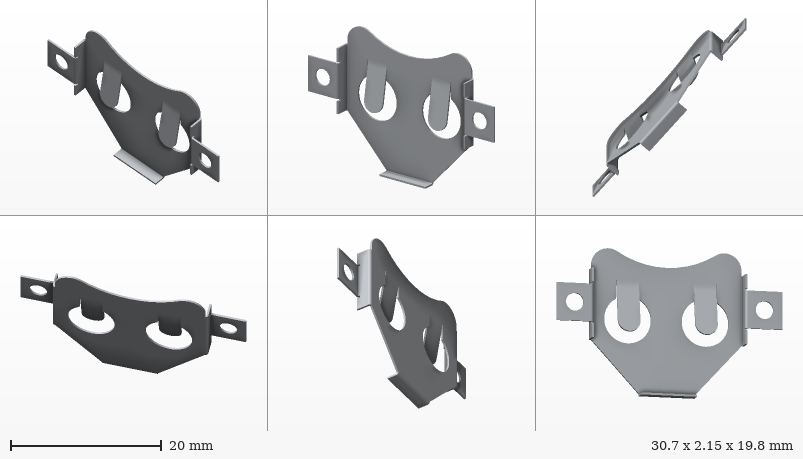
import cadquery as cq
import math

overall_width = 30.73
overall_depth = 2.15
overall_height = 19.82
sheet = 0.28
bend_inner = 0.1
bend_outer = bend_inner + sheet

wall_outer_x = 10.6
plate_half_width = wall_outer_x - bend_outer
horn_radius = 2.3
valley_z = 17.52

lip_half_width = 3.78
lip_depth = 1.78

wall_bottom = 7.38
wall_top = 16.8
tab_bottom = 9.5
tab_top = 14.6
relief_height = 0.25
relief_depth = 0.5
tab_hole_x = 12.95
tab_hole_diameter = 2.4

window_x = 5.3
window_radius = 3.2
window_z = 10.3
tongue_width = 3.05
tongue_inner_x = 3.75
tongue_tip_z = 8.57
tongue_root_z = 15.55
tongue_bend_height = 0.75
tongue_angle = math.radians(10)
slot_side_gap = 0.1


def box(x_range, y_range, z_range):
    """Axis-aligned block from its limits along X, Y and Z."""
    lengths = [high - low for low, high in (x_range, y_range, z_range)]
    corner = (x_range[0], y_range[0], z_range[0])
    return cq.Workplane("XY").box(*lengths, centered=False).translate(corner)


def both_sides(body):
    """The body together with its mirror image across the YZ plane."""
    return body.union(body.mirror("YZ"))


def make_plate():
    """Flat back plate: two rounded horns joined tangentially by a concave valley."""
    horn_x = plate_half_width - horn_radius
    horn_z = overall_height - horn_radius
    rise = valley_z - horn_z
    valley_radius = (horn_x**2 + rise**2 - horn_radius**2) / (2 * (horn_radius - rise))
    valley_center_z = valley_z + valley_radius
    reach = horn_radius / (horn_radius + valley_radius)
    joint_x = horn_x * (1 - reach)
    joint_z = horn_z + reach * (valley_center_z - horn_z)
    return (
        cq.Workplane("XZ")
        .moveTo(-lip_half_width, bend_outer)
        .lineTo(lip_half_width, bend_outer)
        .lineTo(plate_half_width, wall_bottom)
        .lineTo(plate_half_width, horn_z)
        .threePointArc((horn_x, overall_height), (joint_x, joint_z))
        .threePointArc((0, valley_z), (-joint_x, joint_z))
        .threePointArc((-horn_x, overall_height), (-plate_half_width, horn_z))
        .lineTo(-plate_half_width, wall_bottom)
        .close()
        .extrude(sheet)
    )


def make_lip():
    """Lip along the bottom edge, folded forward."""
    mid = math.sqrt(0.5)
    return (
        cq.Workplane("YZ")
        .moveTo(0, bend_outer)
        .threePointArc((bend_outer * (mid - 1), bend_outer * (1 - mid)), (-bend_outer, 0))
        .lineTo(-lip_depth, 0)
        .lineTo(-lip_depth, sheet)
        .lineTo(-bend_outer, sheet)
        .threePointArc(
            (-bend_outer + bend_inner * mid, bend_outer - bend_inner * mid),
            (-sheet, bend_outer),
        )
        .close()
        .extrude(lip_half_width, both=True)
    )


def bend(center_x, center_y, corner_x, corner_y, z_range):
    """Quarter-round bend about a vertical axis, on the corner_x, corner_y side of it."""
    height = z_range[1] - z_range[0]
    ring = cq.Workplane("XY").circle(bend_outer).circle(bend_inner).extrude(height)
    quadrant = box(
        sorted((0, corner_x * bend_outer)),
        sorted((0, corner_y * bend_outer)),
        (0, height),
    )
    return ring.intersect(quadrant).translate((center_x, center_y, z_range[0]))


def make_wall():
    """Right-hand side wall with its bend and the two relief slots beside the tab."""
    wall_inner_x = wall_outer_x - sheet
    wall_x = (wall_inner_x, wall_outer_x)
    wall_z = (wall_bottom, wall_top)
    wall = box(wall_x, (-overall_depth, -bend_outer), wall_z)
    opening = box(
        wall_x,
        (-overall_depth, -overall_depth + relief_depth),
        (tab_bottom - relief_height, tab_top + relief_height),
    )
    tab_root = box(
        wall_x,
        (-overall_depth + bend_outer, -overall_depth + relief_depth),
        (tab_bottom, tab_top),
    )
    plate_bend = bend(plate_half_width, -bend_outer, 1, 1, wall_z)
    return wall.cut(opening).union(tab_root).union(plate_bend)


def make_tab():
    """Right-hand mounting tab, folded outward from the front edge of the wall."""
    tab_z = (tab_bottom, tab_top)
    bend_x = wall_outer_x + bend_inner
    flat = box(
        (bend_x, overall_width / 2),
        (-overall_depth, -overall_depth + sheet),
        tab_z,
    )
    hole = (
        cq.Workplane("XZ")
        .center(tab_hole_x, (tab_bottom + tab_top) / 2)
        .circle(tab_hole_diameter / 2)
        .extrude(overall_depth)
    )
    return flat.cut(hole).union(bend(bend_x, -overall_depth + bend_outer, -1, -1, tab_z))


def make_window():
    """Right-hand round window with the slot that frees the tongue above it."""
    circle = cq.Workplane("XZ").center(window_x, window_z).circle(window_radius).extrude(sheet)
    slot = box(
        (tongue_inner_x, tongue_inner_x + tongue_width + slot_side_gap),
        (-sheet, 0),
        (window_z, tongue_root_z),
    )
    return circle.union(slot)


def make_tongue():
    """Right-hand spring tongue: gentle bend at the root, then a sloped blade with a round tip."""
    front_radius = tongue_bend_height / math.sin(tongue_angle)
    rear_radius = front_radius + sheet
    axis_y = -sheet - front_radius

    def on_bend(radius, angle):
        return (axis_y + radius * math.cos(angle), tongue_root_z - radius * math.sin(angle))

    def along_blade(start, end_z):
        drop = start[1] - end_z
        return (start[0] - drop * math.tan(tongue_angle), end_z)

    front_end = on_bend(front_radius, tongue_angle)
    rear_end = on_bend(rear_radius, tongue_angle)
    untrimmed_z = tongue_tip_z - sheet
    strip = (
        cq.Workplane("YZ")
        .moveTo(0, tongue_root_z)
        .threePointArc(on_bend(rear_radius, tongue_angle / 2), rear_end)
        .lineTo(*along_blade(rear_end, untrimmed_z))
        .lineTo(*along_blade(front_end, untrimmed_z))
        .lineTo(*front_end)
        .threePointArc(on_bend(front_radius, tongue_angle / 2), (-sheet, tongue_root_z))
        .close()
        .extrude(tongue_width)
        .translate((tongue_inner_x, 0, 0))
    )
    tip_radius = tongue_width / 2
    tongue_outer_x = tongue_inner_x + tongue_width
    tip_y = along_blade(front_end, tongue_tip_z)[0]
    outline = (
        cq.Workplane("XZ")
        .moveTo(tongue_inner_x, overall_height)
        .lineTo(tongue_inner_x, tongue_tip_z + tip_radius)
        .threePointArc(
            (tongue_inner_x + tip_radius, tongue_tip_z),
            (tongue_outer_x, tongue_tip_z + tip_radius),
        )
        .lineTo(tongue_outer_x, overall_height)
        .close()
        .extrude(overall_depth, both=True)
        .rotate((0, tip_y, tongue_tip_z), (1, tip_y, tongue_tip_z), -math.degrees(tongue_angle))
    )
    return strip.intersect(outline)


result = (
    make_plate()
    .cut(both_sides(make_window()))
    .union(make_lip())
    .union(both_sides(make_wall().union(make_tab())))
    .union(both_sides(make_tongue()))
)